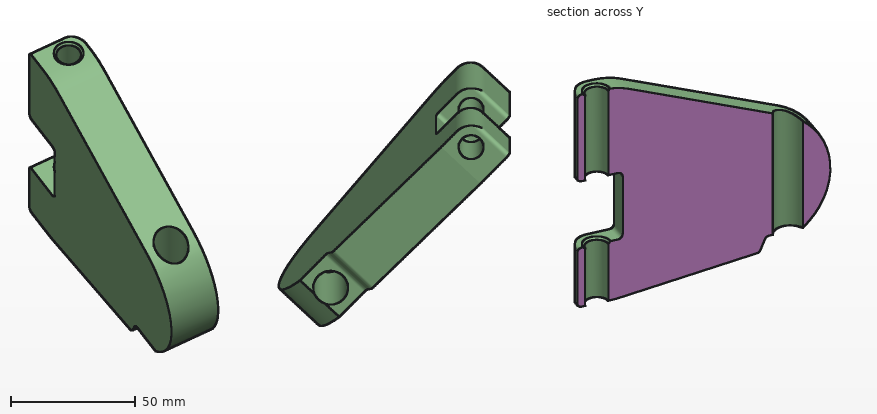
import cadquery as cq
import math

length = 111.5
thickness = 22.0
height = 100.0

nose_radius = 32.0
nose_x = length - nose_radius
nose_z = 38.85

slope_angle = math.radians(23.0)
top_blend_radius = 30.0

foot_length = 17.0
rise_angle = math.radians(6.0)
ledge_z = 13.5
step_top_x = 83.2
step_fillet = 2.0

slot_depth = 20.0
slot_bottom_z = 28.0
slot_top_z = 59.0
edge_fillet = 2.0

corner_radius = 8.0

pin_x = 8.7
pin_y = 13.3
pin_diameter = 10.0
countersink_diameter = 12.0

nose_hole_x = 92.7
nose_hole_y = thickness / 2
nose_hole_diameter = 14.0


def fillet_at(body, points, radius):
    """Fillet the Y-direction edges that pass through the given (x, z) points."""
    for x, z in points:
        nearest = cq.selectors.NearestToPointSelector((x, thickness / 2, z))
        body = body.edges("|Y").edges(nearest).fillet(radius)
    return body


def make_plate():
    """Plate with its side outline, extruded from Y = 0 to Y = thickness."""
    tangent_x = nose_x + nose_radius * math.sin(slope_angle)
    tangent_z = nose_z + nose_radius * math.cos(slope_angle)
    slope_top_x = tangent_x - (height - tangent_z) / math.tan(slope_angle)
    nose_end_x = nose_x + math.sqrt(nose_radius**2 - (nose_z - ledge_z) ** 2)

    step_run = math.tan(slope_angle)
    rise = math.tan(rise_angle)
    step_bottom_z = rise * (step_top_x - ledge_z * step_run - foot_length) / (1 - rise * step_run)
    step_bottom_x = step_top_x - (ledge_z - step_bottom_z) * step_run

    outline = (
        cq.Workplane("XZ")
        .moveTo(0, 0)
        .lineTo(foot_length, 0)
        .lineTo(step_bottom_x, step_bottom_z)
        .lineTo(step_top_x, ledge_z)
        .lineTo(nose_end_x, ledge_z)
        .threePointArc((length, nose_z), (tangent_x, tangent_z))
        .lineTo(slope_top_x, height)
        .lineTo(0, height)
        .lineTo(0, slot_top_z)
        .lineTo(slot_depth, slot_top_z)
        .lineTo(slot_depth, slot_bottom_z)
        .lineTo(0, slot_bottom_z)
        .close()
    )
    plate = outline.extrude(-thickness)

    lug_corners = [(0, z) for z in (0, slot_bottom_z, slot_top_z, height)]
    slot_corners = [(slot_depth, z) for z in (slot_bottom_z, slot_top_z)]
    step_corners = [(step_bottom_x, step_bottom_z), (step_top_x, ledge_z)]

    plate = fillet_at(plate, [(slope_top_x, height)], top_blend_radius)
    plate = fillet_at(plate, lug_corners + slot_corners, edge_fillet)
    return fillet_at(plate, step_corners, step_fillet)


def make_corner_waste():
    """Material outside the vertical rounding at the -X, +Y corner."""
    tangent_y = thickness - corner_radius
    return (
        cq.Workplane("XY")
        .moveTo(0, tangent_y)
        .radiusArc((corner_radius, thickness), corner_radius)
        .lineTo(0, thickness)
        .close()
        .extrude(height)
    )


def make_vertical_hole(x, y, diameter):
    return cq.Workplane("XY").center(x, y).circle(diameter / 2).extrude(height)


def make_countersink(face_z):
    """45 degree cone that opens at an upward face at height face_z."""
    depth = (countersink_diameter - pin_diameter) / 2
    cone = cq.Solid.makeCone(
        pin_diameter / 2,
        countersink_diameter / 2,
        depth,
        pnt=cq.Vector(pin_x, pin_y, face_z - depth),
    )
    return cq.Workplane("XY").add(cone)


result = make_plate()
result = result.cut(make_corner_waste())
result = result.cut(make_vertical_hole(pin_x, pin_y, pin_diameter))
for lug_top_z in (slot_bottom_z, height):
    result = result.cut(make_countersink(lug_top_z))
result = result.cut(make_vertical_hole(nose_hole_x, nose_hole_y, nose_hole_diameter))